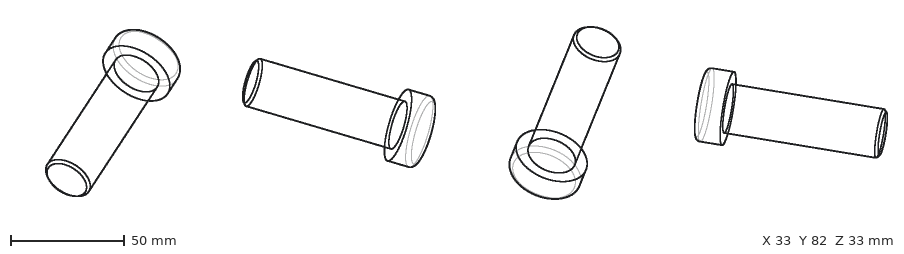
import cadquery as cq

total_length = 82.0
head_diameter = 33.0
head_thickness = 12.0
head_edge_radius = 2.0
shank_diameter = 22.0
tip_chamfer = 1.2

shank_length = total_length - head_thickness


def make_head():
    """Disc from the bearing face at Y = 0 to +Y, with a rounded outer rim."""
    disc = cq.Workplane("XZ").circle(head_diameter / 2).extrude(-head_thickness)
    return disc.faces(">Y").edges().fillet(head_edge_radius)


def make_shank():
    """Round shank from the bearing face to -Y, with a chamfered tip."""
    rod = cq.Workplane("XZ").circle(shank_diameter / 2).extrude(shank_length)
    return rod.faces("<Y").edges().chamfer(tip_chamfer)


result = make_head().union(make_shank())